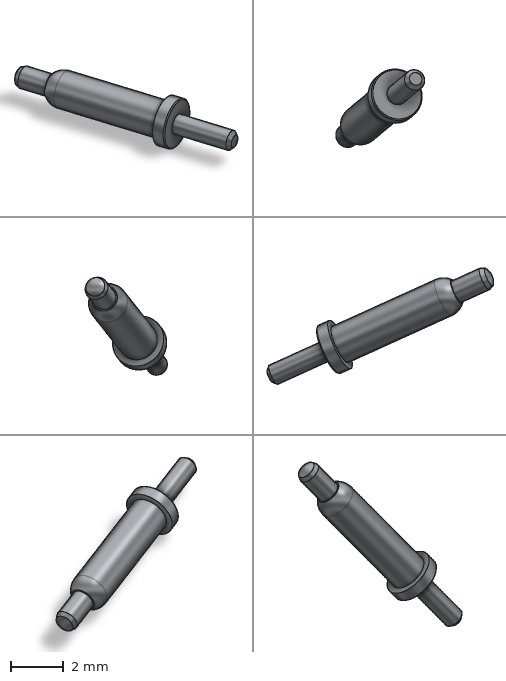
import cadquery as cq
import math

total_length = 9.5

plunger_radius = 0.45
tip_length = 0.3
cap_length = 0.12
cap_edge_radius = 0.37

barrel_start = 1.5
barrel_radius = 0.75
nose_face_radius = 0.5

flange_start = 6.5
flange_thickness = 0.5
flange_diameter = 2.0
flange_chamfer = 0.05

tail_radius = 0.4
tail_chamfer = 0.15


def point_on_sphere(center_x, radius, angle):
    """Half-profile point on a sphere centred on the axis, at an angle from -X."""
    return (center_x - radius * math.cos(angle), radius * math.sin(angle))


cap_radius = (cap_length**2 + cap_edge_radius**2) / (2 * cap_length)
cap_edge_angle = math.asin(cap_edge_radius / cap_radius)
cap_middle = point_on_sphere(cap_radius, cap_radius, cap_edge_angle / 2)

nose_length = math.sqrt(barrel_radius**2 - nose_face_radius**2)
nose_end = barrel_start + nose_length
nose_face_angle = math.asin(nose_face_radius / barrel_radius)
nose_mid_angle = (nose_face_angle + math.pi / 2) / 2
nose_middle = point_on_sphere(nose_end, barrel_radius, nose_mid_angle)

flange_radius = flange_diameter / 2
flange_end = flange_start + flange_thickness

profile = (
    cq.Workplane("XY")
    .moveTo(0, 0)
    .threePointArc(cap_middle, (cap_length, cap_edge_radius))
    .lineTo(tip_length, plunger_radius)
    .lineTo(barrel_start, plunger_radius)
    .lineTo(barrel_start, nose_face_radius)
    .threePointArc(nose_middle, (nose_end, barrel_radius))
    .lineTo(flange_start, barrel_radius)
    .lineTo(flange_start, flange_radius)
    .lineTo(flange_end - flange_chamfer, flange_radius)
    .lineTo(flange_end, flange_radius - flange_chamfer)
    .lineTo(flange_end, tail_radius)
    .lineTo(total_length - tail_chamfer, tail_radius)
    .lineTo(total_length, tail_radius - tail_chamfer)
    .lineTo(total_length, 0)
    .close()
)

result = profile.revolve(360, (0, 0, 0), (1, 0, 0))